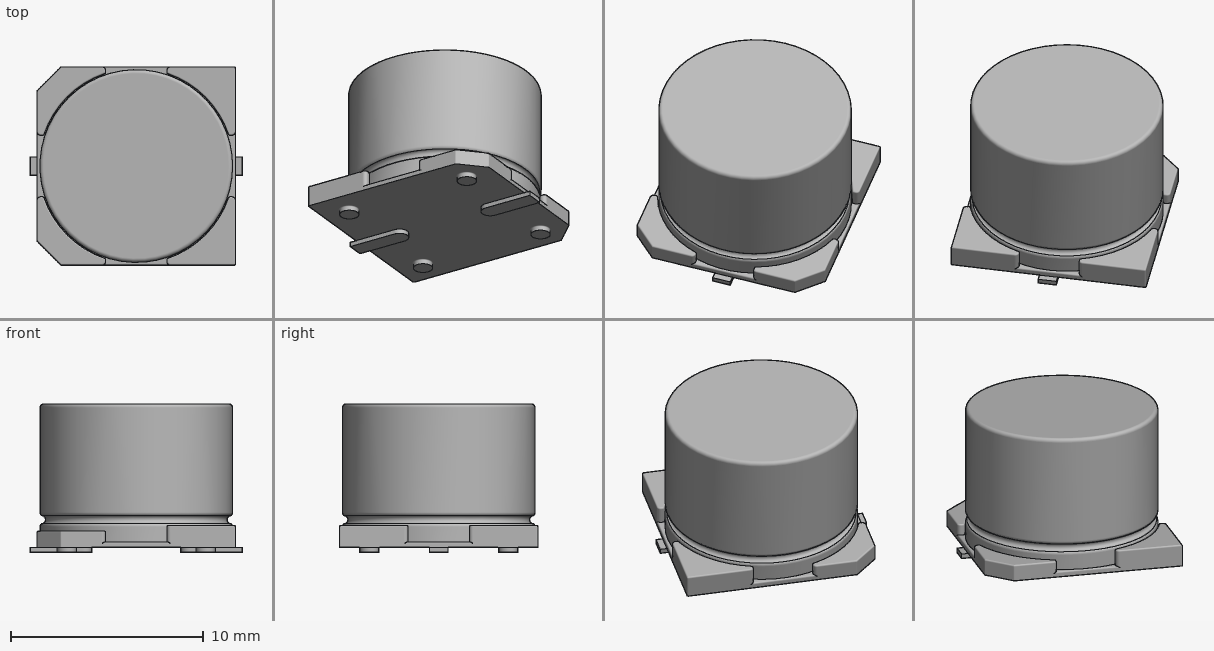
import cadquery as cq

BASE_SIZE = 10.3
CORNER_BEVEL = 1.25
STANDOFF = 0.25
FLOOR_TOP = 0.53
BEVELLED_CORNER_TOP = 1.1
SQUARE_CORNER_TOP = 1.4
EDGE_ROUND = 0.08

RECESS_RADIUS = 5.06
OPENING_WIDTH = 3.18
WALL_OUTER_ROUND = 0.2
WALL_INNER_ROUND = 0.08

CAN_RADIUS = 5.0
CAN_TOP = 7.7
CAN_TOP_ROUND = 0.2
GROOVE_HEIGHT = 1.69
GROOVE_DEPTH = 0.28
LIP_RADIUS = 0.2
LIP_DROP = 0.08
LIP_HEIGHT = 0.16
GROOVE_HALF_WIDTH = 0.21

LEAD_SPAN = 11.0
LEAD_WIDTH = 0.96
LEAD_LENGTH = 3.2

FOOT_DIAMETER = 1.0
FOOT_OFFSET = 3.6
FOOT_FLARE = 0.05

HALF_BASE = BASE_SIZE / 2


def base_blank(height):
    """Base outline with bevelled -X corners, extruded up from the standoff plane."""
    return (
        cq.Workplane("XY", origin=(0, 0, STANDOFF))
        .rect(BASE_SIZE, BASE_SIZE)
        .extrude(height)
        .edges("|Z and <X")
        .chamfer(CORNER_BEVEL)
        .edges("|Z")
        .fillet(EDGE_ROUND)
    )


def make_floor():
    return base_blank(FLOOR_TOP - STANDOFF).faces(">Z").edges().fillet(EDGE_ROUND)


def corner_wall(x_side, y_side, top):
    """One corner of the blank, cleared by the can recess and the side openings."""
    height = top - STANDOFF
    half_opening = OPENING_WIDTH / 2
    quadrant = (
        cq.Workplane("XY", origin=(x_side * half_opening, y_side * half_opening, STANDOFF))
        .rect(x_side * HALF_BASE, y_side * HALF_BASE, centered=False)
        .extrude(height)
    )
    recess = cq.Workplane("XY", origin=(0, 0, STANDOFF)).circle(RECESS_RADIUS).extrude(height)
    wall = base_blank(height).intersect(quadrant).cut(recess)

    def opening_edges(outside):
        def keep(edge):
            place = edge.Center()
            reach = max(abs(place.x), abs(place.y))
            at_opening = min(abs(place.x), abs(place.y)) < half_opening + EDGE_ROUND / 2
            return at_opening and (reach > HALF_BASE - EDGE_ROUND / 2) == outside

        return [edge for edge in wall.edges("|Z").vals() if keep(edge)]

    wall = wall.newObject(opening_edges(True)).fillet(WALL_OUTER_ROUND)
    wall = wall.newObject(opening_edges(False)).fillet(WALL_INNER_ROUND)
    return wall.faces(">Z").edges().fillet(EDGE_ROUND)


def make_can():
    """Can revolved about Z; its foot is sunk into the floor."""
    can_bottom = STANDOFF + (FLOOR_TOP - STANDOFF) / 2
    lip_edge_radius = CAN_RADIUS - LIP_DROP
    upper_edge = GROOVE_HEIGHT + GROOVE_HALF_WIDTH
    lower_edge = GROOVE_HEIGHT - GROOVE_HALF_WIDTH
    profile = (
        cq.Workplane("XZ")
        .moveTo(0, can_bottom)
        .lineTo(CAN_RADIUS, can_bottom)
        .lineTo(CAN_RADIUS, lower_edge - LIP_HEIGHT)
        .radiusArc((lip_edge_radius, lower_edge), -LIP_RADIUS)
        .threePointArc((CAN_RADIUS - GROOVE_DEPTH, GROOVE_HEIGHT), (lip_edge_radius, upper_edge))
        .radiusArc((CAN_RADIUS, upper_edge + LIP_HEIGHT), -LIP_RADIUS)
        .lineTo(CAN_RADIUS, CAN_TOP)
        .lineTo(0, CAN_TOP)
        .close()
    )
    return profile.revolve(360, (0, 0, 0), (0, 1, 0)).faces(">Z").edges().fillet(CAN_TOP_ROUND)


def make_lead(x_side):
    outer_end = x_side * LEAD_SPAN / 2
    inner_end = outer_end - x_side * LEAD_LENGTH
    half_width = LEAD_WIDTH / 2
    round_start = inner_end + x_side * half_width
    return (
        cq.Workplane("XY")
        .moveTo(outer_end, -half_width)
        .lineTo(round_start, -half_width)
        .threePointArc((inner_end, 0), (round_start, half_width))
        .lineTo(outer_end, half_width)
        .close()
        .extrude(STANDOFF)
    )


def add_feet(body):
    """Add the feet below the base, flared where they meet its underside."""
    foot_radius = FOOT_DIAMETER / 2
    profile = (
        cq.Workplane("XZ")
        .lineTo(foot_radius, 0)
        .lineTo(foot_radius, STANDOFF - FOOT_FLARE)
        .radiusArc((foot_radius + FOOT_FLARE, STANDOFF), FOOT_FLARE)
        .lineTo(0, STANDOFF)
        .close()
    )
    foot = profile.revolve(360, (0, 0, 0), (0, 1, 0))
    for x_side in (-1, 1):
        for y_side in (-1, 1):
            body = body.union(foot.translate((x_side * FOOT_OFFSET, y_side * FOOT_OFFSET, 0)))
    return body


body = make_floor()
for side in (-1, 1):
    body = body.union(corner_wall(-1, side, BEVELLED_CORNER_TOP))
    body = body.union(corner_wall(1, side, SQUARE_CORNER_TOP))
    body = body.union(make_lead(side))
body = body.union(make_can())
result = add_feet(body)